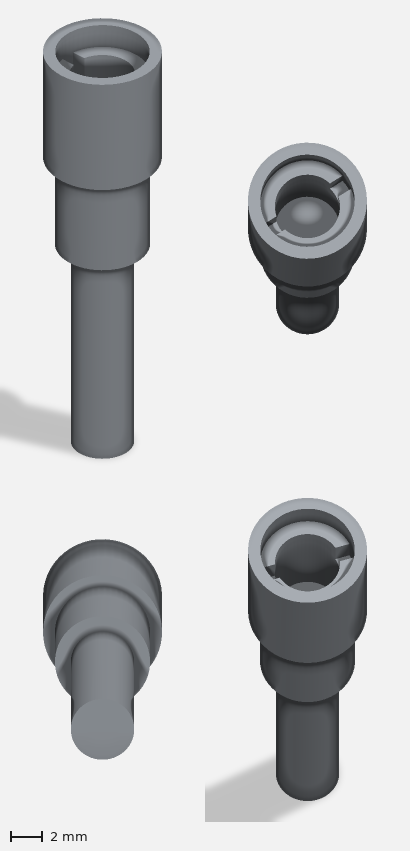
import cadquery as cq

stem_diameter = 4.0
stem_length = 15.0
collar_diameter = 6.0
collar_length = 6.6
head_diameter = 7.5
head_length = 8.0
total_length = stem_length + collar_length + head_length

mouth_diameter = 5.95
mouth_depth = 1.65
bore_diameter = 4.1
bore_floor_height = stem_length + collar_length

slot_width = 1.0
slot_depth = 1.5

ledge_height = total_length - mouth_depth


def cylinder(diameter, bottom, length):
    """Cylinder on the Z axis, standing on the given height."""
    return cq.Workplane("XY").workplane(offset=bottom).circle(diameter / 2).extrude(length)


def make_body():
    stem = cylinder(stem_diameter, 0, stem_length)
    collar = cylinder(collar_diameter, stem_length, collar_length)
    head = cylinder(head_diameter, stem_length + collar_length, head_length)
    return stem.union(collar).union(head)


def make_socket():
    mouth = cylinder(mouth_diameter, ledge_height, mouth_depth)
    bore = cylinder(bore_diameter, bore_floor_height, ledge_height - bore_floor_height)
    return mouth.union(bore)


def make_slot():
    """Slot across the full ledge, ending flush with the mouth wall."""
    slot_floor = ledge_height - slot_depth
    bar = (
        cq.Workplane("XY")
        .workplane(offset=slot_floor)
        .rect(mouth_diameter, slot_width)
        .extrude(slot_depth)
    )
    return bar.intersect(cylinder(mouth_diameter, slot_floor, slot_depth))


result = make_body().cut(make_socket()).cut(make_slot())